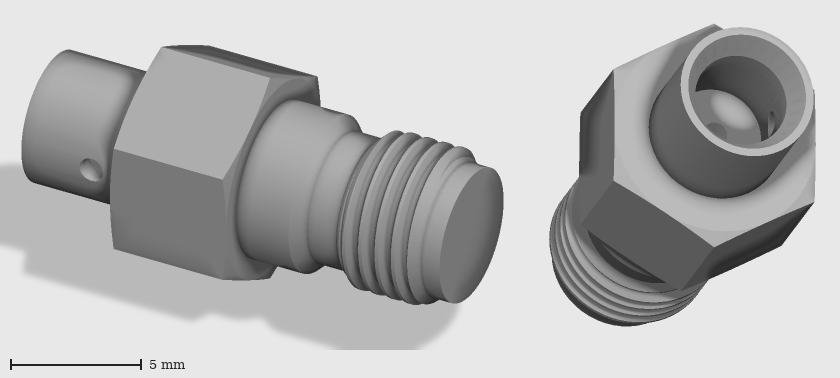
import cadquery as cq
import math

LENGTH = 18.0

SLEEVE_RADIUS = 2.65
BORE_RADIUS = 1.82
BORE_MOUTH_RADIUS = 2.34
BORE_MOUTH_DEPTH = 0.9
SOLDER_HOLE_X = 3.0
SOLDER_HOLE_RADIUS = 0.5

HEX_START = 4.5
HEX_LENGTH = 5.0
HEX_END = HEX_START + HEX_LENGTH
HEX_ACROSS_FLATS = 8.0
HEX_INRADIUS = HEX_ACROSS_FLATS / 2
HEX_CORNER_RADIUS = HEX_INRADIUS / math.cos(math.radians(30))
HEX_CHAMFER_LENGTH = 0.16

COLLAR_RADIUS = 3.17
COLLAR_END = 12.28
NECK_RADIUS = SLEEVE_RADIUS
COLLAR_CHAMFER = COLLAR_RADIUS - NECK_RADIUS
THREAD_START = 13.54
THREAD_END = 17.2
NOSE_RADIUS = 2.7

CREST_RADIUS = COLLAR_RADIUS
ROOT_RADIUS = 2.86
PITCH = 0.7
ROOT_WIDTH = 0.2
FLANK_ANGLE = 30.0
GROOVE_START = 12.55
GROOVE_TURNS = 8
GROOVE_OVERSHOOT = 0.05

DIELECTRIC_START = HEX_START
CONTACT_RADIUS = 0.47
CONTACT_TIP_ANGLE = 118.0
CONTACT_RECESS_DEPTH = CONTACT_RADIUS / math.tan(math.radians(CONTACT_TIP_ANGLE / 2))


def rod(start, end, radius):
    """Cylinder on the X axis."""
    return cq.Workplane("YZ").workplane(offset=start).circle(radius).extrude(end - start)


def turned(profile):
    """Solid of revolution about X from (x, radius) points; the profile is closed along the axis."""
    outline = [(profile[0][0], 0), *profile, (profile[-1][0], 0)]
    return cq.Workplane("XY").polyline(outline).close().revolve(360, (0, 0, 0), (1, 0, 0))


def make_hexagon():
    """Hexagonal prism with both ends turned down to a circle that touches the flats."""
    prism = (
        cq.Workplane("YZ")
        .workplane(offset=HEX_START)
        .polygon(6, 2 * HEX_CORNER_RADIUS)
        .extrude(HEX_LENGTH)
        .rotate((0, 0, 0), (1, 0, 0), 30)
    )
    envelope = turned([
        (HEX_START, HEX_INRADIUS),
        (HEX_START + HEX_CHAMFER_LENGTH, HEX_CORNER_RADIUS),
        (HEX_END - HEX_CHAMFER_LENGTH, HEX_CORNER_RADIUS),
        (HEX_END, HEX_INRADIUS),
    ])
    return prism.intersect(envelope)


def make_thread_groove():
    """Helical groove with a flat root, starting at the -Z side and advancing along +X."""
    outer_radius = CREST_RADIUS + GROOVE_OVERSHOOT
    root_half = ROOT_WIDTH / 2
    mouth_half = root_half + (outer_radius - ROOT_RADIUS) * math.tan(math.radians(FLANK_ANGLE))
    helix = cq.Wire.makeHelix(PITCH, PITCH * GROOVE_TURNS, ROOT_RADIUS)
    groove = (
        cq.Workplane("XZ")
        .polyline([
            (ROOT_RADIUS, -root_half),
            (ROOT_RADIUS, root_half),
            (outer_radius, mouth_half),
            (outer_radius, -mouth_half),
        ])
        .close()
        .sweep(cq.Workplane(helix), isFrenet=True)
    )
    return groove.rotate((0, 0, 0), (0, 1, 0), 90).translate((GROOVE_START, 0, 0))


def make_threaded_length():
    """Length of a longer threaded rod, trimmed to an envelope with 45 degree chamfered ends."""
    rod_end = GROOVE_START + PITCH * (GROOVE_TURNS + 1)
    threaded_rod = rod(GROOVE_START - PITCH, rod_end, CREST_RADIUS).cut(make_thread_groove())
    envelope = turned([
        (THREAD_START, NECK_RADIUS),
        (THREAD_START + CREST_RADIUS - NECK_RADIUS, CREST_RADIUS),
        (THREAD_END - CREST_RADIUS + NOSE_RADIUS, CREST_RADIUS),
        (THREAD_END, NOSE_RADIUS),
    ])
    return threaded_rod.intersect(envelope)


def make_cable_bore():
    """Bore along the whole axis, widened by a cone at the cable end."""
    mouth = turned([(0, BORE_MOUTH_RADIUS), (BORE_MOUTH_DEPTH, BORE_RADIUS)])
    return rod(0, LENGTH, BORE_RADIUS).union(mouth)


def make_solder_hole():
    """Radial hole through the -Y wall of the sleeve."""
    return (
        cq.Workplane("XZ")
        .center(SOLDER_HOLE_X, 0)
        .circle(SOLDER_HOLE_RADIUS)
        .extrude(SLEEVE_RADIUS)
    )


def make_housing():
    collar = turned([
        (HEX_END, COLLAR_RADIUS),
        (COLLAR_END - COLLAR_CHAMFER, COLLAR_RADIUS),
        (COLLAR_END, NECK_RADIUS),
    ])
    return (
        rod(0, HEX_START, SLEEVE_RADIUS)
        .union(make_hexagon())
        .union(collar)
        .union(rod(COLLAR_END, THREAD_START, NECK_RADIUS))
        .union(make_threaded_length())
        .union(rod(THREAD_END, LENGTH, NOSE_RADIUS))
        .cut(make_cable_bore())
        .cut(make_solder_hole())
    )


def make_dielectric():
    """Insulating plug that fills the bore in front of the cable and holds the contact."""
    plug = rod(DIELECTRIC_START, LENGTH, BORE_RADIUS)
    return plug.cut(rod(DIELECTRIC_START, LENGTH, CONTACT_RADIUS))


def make_contact():
    """Centre pin with a conical recess in its cable end."""
    recess = cq.Solid.makeCone(
        CONTACT_RADIUS, 0, CONTACT_RECESS_DEPTH, cq.Vector(DIELECTRIC_START, 0, 0), cq.Vector(1, 0, 0)
    )
    return rod(DIELECTRIC_START, LENGTH, CONTACT_RADIUS).cut(cq.Workplane(recess))


housing = make_housing()
dielectric = make_dielectric()
contact = make_contact()

result = cq.Compound.makeCompound([housing.val(), dielectric.val(), contact.val()])